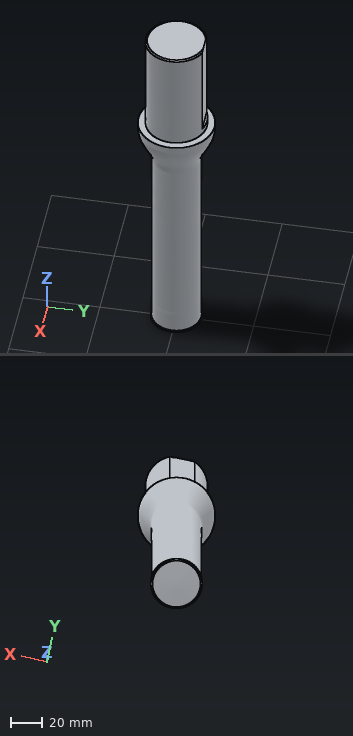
import cadquery as cq

TOTAL_HEIGHT = 236.0
HEAD_BOTTOM_Z = 2.1
HEAD_TOP_Z = 14.9
RELIEF_BOTTOM_Z = 17.7
RELIEF_TOP_Z = 81.7
TAPER_TOP_Z = 131.5
COVE_BOTTOM_Z = 136.5
COLLAR_BOTTOM_Z = 161.2
COLLAR_TOP_Z = 166.1
FLAT_BOTTOM_Z = 170.6

HEAD_RADIUS = 32.0 / 2
RELIEF_RADIUS = 31.9 / 2
COLLAR_RADIUS = 49.5 / 2
SHANK_RADIUS = 40.0 / 2

CHAMFER_WIDTH = 1.2
CHAMFER_HEIGHT = 0.7
FLAT_DISTANCE = 18.2

RING_RADIUS = 33.0 / 2
RING_RIM_Z = 1.5
TIP_RADIUS = 15.3
TIP_EDGE_Z = 0.6


def transition_controls():
    """Bezier points of the S-curve that starts and ends parallel to the axis below the collar."""
    handle = (COLLAR_BOTTOM_Z - COVE_BOTTOM_Z) / 3
    return [
        (HEAD_RADIUS, COVE_BOTTOM_Z),
        (HEAD_RADIUS, COVE_BOTTOM_Z + handle),
        (COLLAR_RADIUS, COLLAR_BOTTOM_Z - handle),
        (COLLAR_RADIUS, COLLAR_BOTTOM_Z),
    ]


def make_holder():
    """Neck, collar and shank turned in one piece, with a flat along the shank."""
    turned = (
        cq.Workplane("XZ")
        .moveTo(0, HEAD_BOTTOM_Z)
        .lineTo(HEAD_RADIUS, HEAD_BOTTOM_Z)
        .lineTo(HEAD_RADIUS, HEAD_TOP_Z)
        .lineTo(RELIEF_RADIUS, RELIEF_BOTTOM_Z)
        .lineTo(RELIEF_RADIUS, RELIEF_TOP_Z)
        .lineTo(HEAD_RADIUS, TAPER_TOP_Z)
        .lineTo(HEAD_RADIUS, COVE_BOTTOM_Z)
        .bezier(transition_controls())
        .lineTo(COLLAR_RADIUS, COLLAR_TOP_Z)
        .lineTo(SHANK_RADIUS, COLLAR_TOP_Z)
        .lineTo(SHANK_RADIUS, TOTAL_HEIGHT - CHAMFER_HEIGHT)
        .lineTo(SHANK_RADIUS - CHAMFER_WIDTH, TOTAL_HEIGHT)
        .lineTo(0, TOTAL_HEIGHT)
        .close()
        .revolve(360, (0, 0), (0, 1))
    )
    flat_cutter = (
        cq.Workplane("XY", origin=(0, FLAT_DISTANCE, FLAT_BOTTOM_Z))
        .box(2 * SHANK_RADIUS, SHANK_RADIUS, TOTAL_HEIGHT - FLAT_BOTTOM_Z, centered=(True, False, False))
    )
    return turned.cut(flat_cutter)


def make_cutting_ring():
    """Disc under the holder with a rounded rim and a shallow conical underside."""
    return (
        cq.Workplane("XZ")
        .moveTo(0, 0)
        .lineTo(TIP_RADIUS, TIP_EDGE_Z)
        .threePointArc((RING_RADIUS, RING_RIM_Z), (HEAD_RADIUS, HEAD_BOTTOM_Z))
        .lineTo(0, HEAD_BOTTOM_Z)
        .close()
        .revolve(360, (0, 0), (0, 1))
    )


holder = make_holder()
cutting_ring = make_cutting_ring()

result = cq.Compound.makeCompound([holder.val(), cutting_ring.val()])